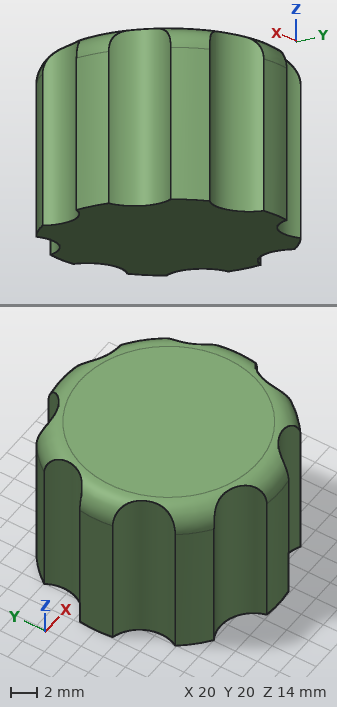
import cadquery as cq

knob_diameter = 19.99
knob_height = 14.0
top_edge_radius = 2.0

flute_count = 8
flute_radius = 3.0
flute_center_distance = 11.5
flute_pitch_angle = 360.0 / flute_count


def make_flute_cutters():
    """Vertical cylinders that scoop the flutes over the full knob height."""
    return (
        cq.Workplane("XY")
        .polarArray(flute_center_distance, flute_pitch_angle / 2, 360, flute_count)
        .circle(flute_radius)
        .extrude(knob_height)
    )


def make_knob():
    """Round knob with a rounded top edge and fluted sides; the base is at Z = 0."""
    blank = cq.Workplane("XY").circle(knob_diameter / 2).extrude(knob_height)
    rounded_blank = blank.faces(">Z").edges().fillet(top_edge_radius)
    return rounded_blank.cut(make_flute_cutters()).solids()


knob = make_knob()

result = cq.Compound.makeCompound([knob.val()])